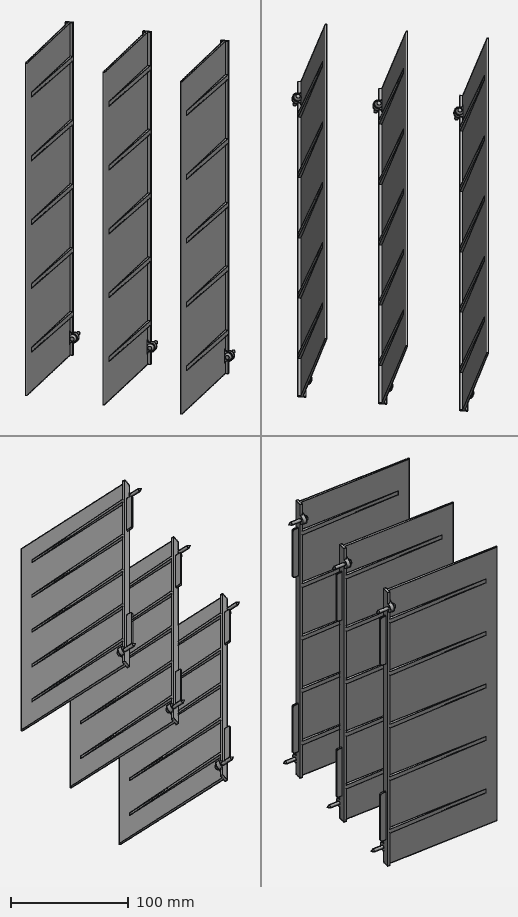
import cadquery as cq
import math

BLADE_COUNT = 3
ASSEMBLY_WIDTH = 157.0
BLADE_HEIGHT = 300.0
BLADE_DEPTH = 112.0

TIP_THICKNESS = 1.5
ROOT_THICKNESS = 2.0
ROOT_DEPTH = 20.5

FLANGE_WIDTH = 7.0
FLANGE_DEPTH = 2.5

RIB_COUNT = 5
RIB_PITCH = 57.5
RIB_HEIGHT = 4.2
RIB_LOWEST_Z = 37.5
RIB_END_DEPTH = 100.2
RIB_END_WIDTH = 1.8

TAB_LENGTH = 52.5
TAB_REACH = 5.5
TAB_THICKNESS = 1.5
TAB_INSET = 27.3
TAB_CORNER_RADIUS = 1.8

EAR_DIAMETER = 8.5
EAR_OFFSET = 4.2
EAR_THICKNESS = 4.0
EAR_INSET = 16.2
EAR_FLARE_RADIUS = 2.0

SHANK_RADIUS = 1.5
SCREW_REACH = 12.0
POINT_LENGTH = 2.5
HEAD_BASE_RADIUS = 3.3
HEAD_SHOULDER_RADIUS = 2.7
HEAD_TOP_RADIUS = 1.8
HEAD_SHOULDER_HEIGHT = 1.2
HEAD_HEIGHT = 2.5

BLADE_PITCH = (ASSEMBLY_WIDTH - 2 * EAR_OFFSET - EAR_DIAMETER) / (BLADE_COUNT - 1)


def make_sheet():
    """Flange and root in one with a web that tapers slightly from the root to a rounded front edge."""
    root_half = ROOT_THICKNESS / 2
    tip_half = TIP_THICKNESS / 2
    tip_start = -BLADE_DEPTH + tip_half
    web = (
        cq.Workplane("XY")
        .moveTo(-root_half, 0)
        .lineTo(-root_half, -ROOT_DEPTH)
        .lineTo(-tip_half, tip_start)
        .threePointArc((0, -BLADE_DEPTH), (tip_half, tip_start))
        .lineTo(root_half, -ROOT_DEPTH)
        .lineTo(root_half, 0)
        .close()
        .extrude(BLADE_HEIGHT)
    )
    flange = cq.Workplane("XY").box(FLANGE_WIDTH, FLANGE_DEPTH, BLADE_HEIGHT, centered=(True, False, False))
    return web.union(flange.translate((0, -FLANGE_DEPTH, 0)))


def make_rib(center_z):
    """Horizontal wedge, as wide as the flange at the back and narrowing forward."""
    return (
        cq.Workplane("XY", origin=(0, 0, center_z - RIB_HEIGHT / 2))
        .polyline(
            [
                (-FLANGE_WIDTH / 2, -FLANGE_DEPTH),
                (FLANGE_WIDTH / 2, -FLANGE_DEPTH),
                (RIB_END_WIDTH / 2, -RIB_END_DEPTH),
                (-RIB_END_WIDTH / 2, -RIB_END_DEPTH),
            ]
        )
        .close()
        .extrude(RIB_HEIGHT)
    )


def make_tab(bottom_z):
    """Thin tongue behind the flange with two rounded outer corners."""
    return (
        cq.Workplane("XY", origin=(0, 0, bottom_z))
        .box(TAB_THICKNESS, TAB_REACH, TAB_LENGTH, centered=(True, False, False))
        .edges(">Y and |X")
        .fillet(TAB_CORNER_RADIUS)
    )


def make_ear(side, center_z):
    """Ear with a round end on one side (-1 or +1), flared by concave arcs where it meets the root."""
    half_width = EAR_DIAMETER / 2
    root_x = ROOT_THICKNESS / 2
    flare_x = root_x + EAR_FLARE_RADIUS
    flare_z = half_width + EAR_FLARE_RADIUS
    to_arc_middle = EAR_FLARE_RADIUS / math.sqrt(2)
    middle_x = flare_x - to_arc_middle
    middle_z = flare_z - to_arc_middle
    return (
        cq.Workplane("XZ", origin=(0, 0, center_z))
        .moveTo(0, flare_z)
        .lineTo(side * root_x, flare_z)
        .threePointArc((side * middle_x, middle_z), (side * flare_x, half_width))
        .lineTo(side * EAR_OFFSET, half_width)
        .threePointArc((side * (EAR_OFFSET + half_width), 0), (side * EAR_OFFSET, -half_width))
        .lineTo(side * flare_x, -half_width)
        .threePointArc((side * middle_x, -middle_z), (side * root_x, -flare_z))
        .lineTo(0, -flare_z)
        .close()
        .extrude(EAR_THICKNESS)
    )


def make_screw(side, center_z):
    """Revolved screw: flat-topped head of two cones, cylindrical shank and sharp point."""
    head_front = -EAR_THICKNESS - HEAD_HEIGHT
    profile = [
        (0, head_front),
        (HEAD_TOP_RADIUS, head_front),
        (HEAD_SHOULDER_RADIUS, -EAR_THICKNESS - HEAD_SHOULDER_HEIGHT),
        (HEAD_BASE_RADIUS, -EAR_THICKNESS),
        (SHANK_RADIUS, -EAR_THICKNESS),
        (SHANK_RADIUS, SCREW_REACH - POINT_LENGTH),
        (0, SCREW_REACH),
    ]
    return (
        cq.Workplane("XY")
        .polyline(profile)
        .close()
        .revolve(360, (0, 0), (0, 1))
        .translate((side * EAR_OFFSET, 0, center_z))
    )


def make_blade():
    blade = make_sheet()
    for index in range(RIB_COUNT):
        blade = blade.union(make_rib(RIB_LOWEST_Z + index * RIB_PITCH))
    for tab_z in (TAB_INSET, BLADE_HEIGHT - TAB_INSET - TAB_LENGTH):
        blade = blade.union(make_tab(tab_z))
    for side, ear_z in ((1, EAR_INSET), (-1, BLADE_HEIGHT - EAR_INSET)):
        blade = blade.union(make_ear(side, ear_z)).union(make_screw(side, ear_z))
    return blade


blade = make_blade()
blades = [blade.translate((index * BLADE_PITCH, 0, 0)).val() for index in range(BLADE_COUNT)]

result = cq.Compound.makeCompound(blades)